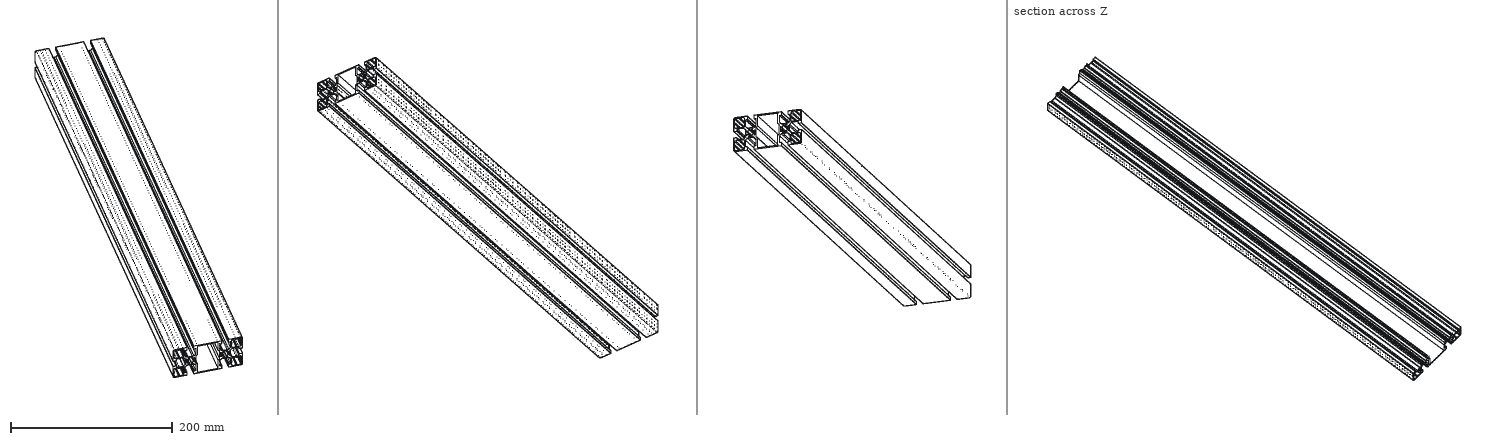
import cadquery as cq

LENGTH = 600.0
MODULE = 45.0
WIDTH = 2 * MODULE
HEIGHT = MODULE
HALF_MODULE = MODULE / 2
OUTER_RADIUS = 2.5

SLOT_OPENING = 8.5
SLOT_INNER_WIDTH = 14.0
LIP_DEPTH = 5.0
LIP_TOP_CHAMFER = 0.3
LIP_BOTTOM_CHAMFER = 0.7
SLOT_CORNER_CHAMFER = 2.5
CORE_SIZE = 13.0

SKIN = 1.45
CELL_WALL = 1.3
CELL_CHAMFER = 0.95
RIB_WIDTH = 1.45
RIB_HEIGHT = 0.5
CELL_START = SLOT_INNER_WIDTH / 2 + CELL_WALL
CELL_END = HALF_MODULE - SKIN
CELL_CENTER = (CELL_START + CELL_END) / 2
CELL_HALF = (CELL_END - CELL_START) / 2

BORE_DIAMETER = 8.0
ARM_WIDTH = 2.5
HEAD_WIDTH = 6.0
HEAD_START = 4.0
HEAD_FULL = 5.0
HEAD_END = 5.8
HEAD_TAPER = 0.3

CHAMBER_HALF_WIDTH = 13.0
CHAMBER_BULGE = 2.1
BULGE_HALF_HEIGHT = 6.0
BULGE_SLOPE_HEIGHT = 2.0


def turned(points, quarter_turns):
    """Points turned clockwise about the origin by quarter turns."""
    for _ in range(quarter_turns):
        points = [(z, -y) for y, z in points]
    return points


def with_mirror(points):
    """Closed outline from its right half, listed from bottom to top or top to bottom."""
    return points + [(-y, z) for y, z in reversed(points)]


def prism(points):
    """Full-length prism with the given (y, z) outline."""
    return cq.Workplane("YZ").polyline(points).close().extrude(LENGTH / 2, both=True)


def slot_outline():
    """T-slot opening at the top of a module."""
    mouth = SLOT_OPENING / 2
    inner = SLOT_INNER_WIDTH / 2
    lip_bottom = HALF_MODULE - LIP_DEPTH
    floor = CORE_SIZE / 2
    return with_mirror([
        (mouth + LIP_TOP_CHAMFER, HALF_MODULE),
        (mouth, HALF_MODULE - LIP_TOP_CHAMFER),
        (mouth, lip_bottom + LIP_BOTTOM_CHAMFER),
        (mouth + LIP_BOTTOM_CHAMFER, lip_bottom),
        (inner, lip_bottom),
        (inner, floor + SLOT_CORNER_CHAMFER),
        (inner - SLOT_CORNER_CHAMFER, floor),
    ])


def cell():
    """Corner cell about the origin: chamfered square with a small rib on each wall."""
    rib = RIB_WIDTH / 2
    rib_top = CELL_HALF - RIB_HEIGHT
    side = [
        (-CELL_HALF, CELL_HALF - CELL_CHAMFER),
        (-CELL_HALF + CELL_CHAMFER, CELL_HALF),
        (-rib, CELL_HALF),
        (-rib, rib_top),
        (rib, rib_top),
        (rib, CELL_HALF),
    ]
    outline = []
    for quarter in range(4):
        outline += turned(side, quarter)
    return prism(outline)


def core_opening():
    """Bore with four T-headed arms."""
    arm = with_mirror([
        (ARM_WIDTH / 2, 0),
        (ARM_WIDTH / 2, HEAD_START),
        (HEAD_WIDTH / 2, HEAD_FULL),
        (HEAD_WIDTH / 2 - HEAD_TAPER, HEAD_END),
    ])
    opening = cq.Workplane("YZ").circle(BORE_DIAMETER / 2).extrude(LENGTH / 2, both=True)
    for quarter in range(4):
        opening = opening.union(prism(turned(arm, quarter)))
    return opening


def module_cuts():
    """Everything removed from the +Y module, about its own core."""
    cuts = [core_opening()]
    for quarter in range(3):
        cuts.append(prism(turned(slot_outline(), quarter)))
    for side in (1, -1):
        cuts.append(cell().translate((0, CELL_CENTER, side * CELL_CENTER)))
    return cuts


def chamber():
    """Central chamber with a bulge toward each core."""
    top = HALF_MODULE - SKIN
    slope_end = BULGE_HALF_HEIGHT + BULGE_SLOPE_HEIGHT
    bulge = CHAMBER_HALF_WIDTH + CHAMBER_BULGE
    return prism(with_mirror([
        (CHAMBER_HALF_WIDTH, top),
        (CHAMBER_HALF_WIDTH, slope_end),
        (bulge, BULGE_HALF_HEIGHT),
        (bulge, -BULGE_HALF_HEIGHT),
        (CHAMBER_HALF_WIDTH, -slope_end),
        (CHAMBER_HALF_WIDTH, -top),
    ]))


result = cq.Workplane("XY").box(LENGTH, WIDTH, HEIGHT).edges("|X").fillet(OUTER_RADIUS)
for module_cut in module_cuts():
    placed_cut = module_cut.translate((0, HALF_MODULE, 0))
    result = result.cut(placed_cut).cut(placed_cut.mirror("XZ"))
result = result.cut(chamber())